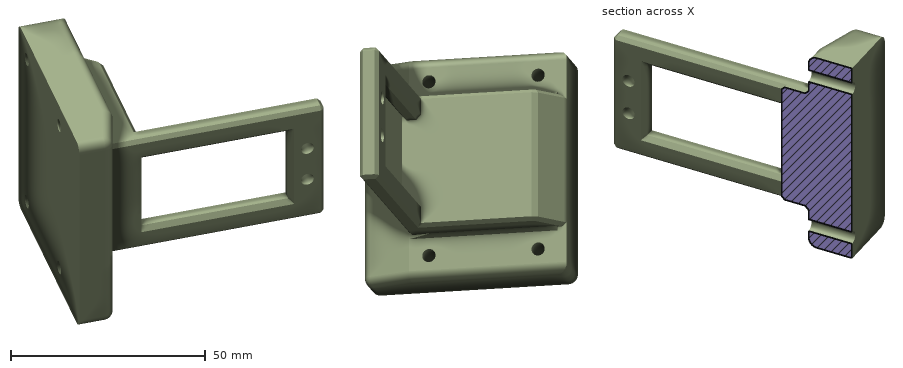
import cadquery as cq

width = 54.4
depth = 69.7
height = 58.95

base_depth = 12.7
base_depth_right = 8.9
round_radius = 2.5

bracket_height = 35.0
plinth_top = 20.55
plinth_left = 6.55
arm_right = 41.65
arm_thickness = 5.0
arm_left = arm_right - arm_thickness
bracket_root = base_depth / 2
chamfer = 1.0

flare_taper = 6.0

window_height = 22.0
window_end = 60.2
window_chamfer = 1.25

hole_diameter = 3.5
base_hole_columns = (7.6, 36.4)
base_hole_spacing = 46.25
arm_hole_y = 65.0
arm_hole_spacing = 10.0


def prism(points, thickness):
    """Extrude an XY outline symmetrically about Z = 0."""
    return cq.Workplane("XY").polyline(points).close().extrude(thickness / 2, both=True)


def make_base():
    """Block with a sloping right shoulder, rounded except on its back left edge."""
    block = prism(
        [(0, 0), (width, 0), (width, base_depth_right), (arm_right, base_depth), (0, base_depth)],
        height,
    )
    inset = 0.7
    side_edges = block.edges("|Y").vals()
    back_region = cq.selectors.BoxSelector(
        (inset, base_depth_right, -height), (width - inset, depth, height)
    )
    back_edges = block.faces("<Z or >Z").edges(back_region).vals()
    right_edge = block.edges("|Z").edges(">X").edges(">Y").vals()
    return block.newObject(side_edges + back_edges + right_edge).fillet(round_radius)


def make_left_envelope():
    """Space bounded by the left side as it curves into the plinth slope."""
    envelope = prism(
        [(0, 0), (width, 0), (width, plinth_top), (plinth_left, plinth_top), (0, base_depth)],
        height,
    )
    bend = cq.selectors.NearestToPointSelector((0, base_depth, 0))
    return envelope.edges("|Z").edges(bend).fillet(round_radius)


def make_bracket():
    """Plinth and arm with every outer edge chamfered."""
    bracket = prism(
        [
            (0, bracket_root),
            (arm_right, bracket_root),
            (arm_right, depth),
            (arm_left, depth),
            (arm_left, plinth_top),
            (plinth_left, plinth_top),
            (0, base_depth),
        ],
        bracket_height,
    )

    def upright_edge(x, y):
        return bracket.edges("|Z").edges(cq.selectors.NearestToPointSelector((x, y, 0))).val()

    bend = upright_edge(0, base_depth)
    bracket = bracket.newObject([bend]).fillet(round_radius)
    outer_edges = [
        upright_edge(x, y)
        for x, y in ((arm_left, depth), (arm_right, depth), (plinth_left, plinth_top))
    ]
    outline_edges = bracket.faces("<Z or >Z").edges().vals()
    return bracket.newObject(outer_edges + outline_edges).chamfer(chamfer)


def make_flare():
    """Sloping strip along both bracket sides, fading out towards the arm."""
    side = bracket_height / 2
    cross_section = (
        cq.Workplane("YZ")
        .polyline([
            (base_depth, -side - chamfer),
            (base_depth, side + chamfer),
            (base_depth + chamfer, side),
            (base_depth + chamfer, -side),
        ])
        .close()
        .extrude(width)
    )
    left = round_radius
    crest = base_depth + chamfer
    footprint = prism(
        [(left, base_depth), (arm_right, base_depth), (arm_right - flare_taper, crest), (left, crest)],
        height,
    )
    return cross_section.intersect(footprint)


def make_window():
    """Rectangular opening through the arm, chamfered on both faces and ending at the plinth."""
    window_depth = window_end - plinth_top
    middle_y = plinth_top + window_depth / 2
    opening = cq.Workplane("YZ", origin=(arm_left, middle_y, 0)).rect(window_depth, window_height)
    opening = opening.extrude(arm_thickness)
    for face_x, inward in ((arm_left, 1), (arm_right, -1)):
        rim = (
            cq.Workplane("YZ", origin=(face_x, middle_y, 0))
            .rect(window_depth + 2 * window_chamfer, window_height + 2 * window_chamfer)
            .extrude(inward * window_chamfer, taper=45)
        )
        opening = opening.union(rim)
    beyond_plinth = cq.Workplane("XY").box(width, depth, height, centered=(False, False, True))
    return opening.intersect(beyond_plinth.translate((0, plinth_top, 0)))


def make_base_holes():
    points = [(x, z * base_hole_spacing / 2) for x in base_hole_columns for z in (-1, 1)]
    return cq.Workplane("XZ").pushPoints(points).circle(hole_diameter / 2).extrude(-base_depth)


def make_arm_holes():
    points = [(arm_hole_y, z * arm_hole_spacing / 2) for z in (-1, 1)]
    return cq.Workplane("YZ").pushPoints(points).circle(hole_diameter / 2).extrude(width)


base = make_base().intersect(make_left_envelope())
result = base.union(make_bracket()).union(make_flare())
result = result.cut(make_window()).cut(make_base_holes()).cut(make_arm_holes())